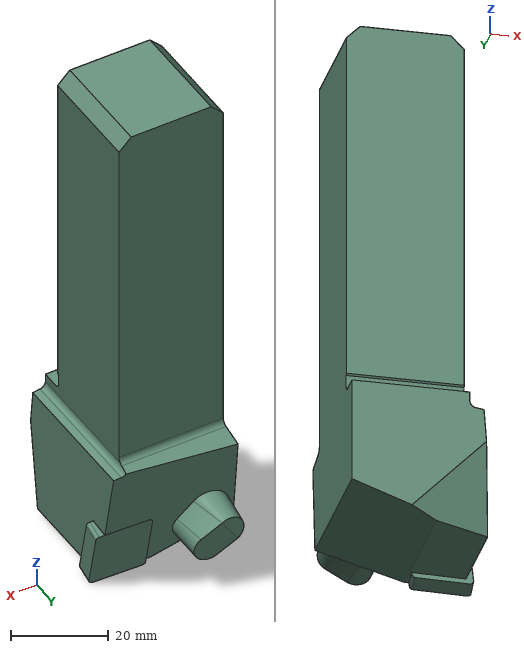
import cadquery as cq
import math

total_height = 116.0
shank_width = 24.9
shank_front = 5.0
shank_back = shank_front + shank_width
top_chamfer = 2.9

front_shoulder = 31.9
relief_top = 35.5
relief_depth = 0.3
relief_corner = 0.7
ledge_fillet = 1.5
side_ledge_root = 28.7
side_ledge_tip = (28.0, 28.2)
back_ledge_root = 29.9
back_ledge_tip = (36.0, 28.4)

corner_x = 29.9
corner_z = 1.6
left_edge_z = 9.2
slope_end = (18.3, 2.5)

back_x_slope = 0.11
back_z_slope = 0.097
back_y0 = 33.2
back_normal = (back_x_slope, 1, -back_z_slope)

bevel_start = (12.8, 4.6)
bevel_end = (28.5, 21.0)
bevel_angle = 20.0

boss_start = (5.8, 12.3)
boss_length = 5.5
boss_angle = -33.0
boss_radius = 3.4
boss_foot_radius = 4.5
boss_foot_y = 34.8
boss_sunk_y = 30.2
boss_top_y = 42.5
boss_top_slope = 7.5

insert_tip = (32.1, -0.07)
insert_edge = 12.9
insert_angle = 80.0
insert_turn = 4.5
insert_thickness = 4.8
insert_nose_radius = 0.8

cut_size = 69.6


def back_face_y(x, z):
    return back_y0 - back_x_slope * x + back_z_slope * z


def make_front_profile(depth):
    """Outline in X and Z, carried back to the given depth in Y."""
    profile = (
        cq.Workplane("XZ")
        .moveTo(0, left_edge_z)
        .lineTo(*slope_end)
        .lineTo(corner_x, corner_z)
        .lineTo(*side_ledge_tip)
        .lineTo(shank_width, side_ledge_root)
        .lineTo(shank_width, total_height)
        .lineTo(0, total_height)
        .close()
        .extrude(-depth)
    )
    ledge_corner = cq.selectors.NearestToPointSelector((shank_width, depth / 2, side_ledge_root))
    profile = profile.edges(ledge_corner).fillet(ledge_fillet)
    return profile.faces(">Z").edges("|Y").chamfer(top_chamfer)


def make_side_profile():
    """Outline in Y and Z, carried through the full width in X."""
    relief_y = shank_front + relief_depth
    profile = (
        cq.Workplane("YZ")
        .moveTo(0, 0)
        .lineTo(0, front_shoulder)
        .lineTo(relief_y - relief_corner, front_shoulder)
        .lineTo(relief_y, front_shoulder + relief_corner)
        .lineTo(relief_y, relief_top)
        .lineTo(shank_front, relief_top + relief_depth)
        .lineTo(shank_front, total_height)
        .lineTo(shank_back, total_height)
        .lineTo(shank_back, back_ledge_root)
        .lineTo(*back_ledge_tip)
        .lineTo(back_ledge_tip[0], 0)
        .close()
        .extrude(corner_x)
    )
    ledge_corner = cq.selectors.NearestToPointSelector((corner_x / 2, shank_back, back_ledge_root))
    return profile.edges(ledge_corner).fillet(ledge_fillet)


def make_back_cut():
    """Everything behind the sloping back face."""
    plane = cq.Plane((0, back_y0, 0), xDir=(1, -back_x_slope, 0), normal=back_normal)
    return cq.Workplane(plane).rect(2 * cut_size, 2 * cut_size).extrude(cut_size)


def make_corner_bevel():
    """Wedge ahead of the bevel plane, which deepens away from the bevel line."""
    run_x = bevel_end[0] - bevel_start[0]
    run_z = bevel_end[1] - bevel_start[1]
    run = math.hypot(run_x, run_z)
    sine = math.sin(math.radians(bevel_angle))
    cosine = math.cos(math.radians(bevel_angle))
    normal = (sine * run_z / run, -cosine, -sine * run_x / run)
    plane = cq.Plane((bevel_start[0], 0, bevel_start[1]), xDir=(run_x, 0, run_z), normal=normal)
    return cq.Workplane(plane).rect(cut_size, cut_size).extrude(cut_size)


def boss_section(y, start_radius):
    """Wire around two circles and their common tangents, at height y."""
    tilt = math.asin((start_radius - boss_radius) / boss_length)
    upper = math.pi / 2 - tilt

    def point(along, radius, angle):
        return (along + radius * math.cos(angle), radius * math.sin(angle))

    axis = (math.cos(math.radians(boss_angle)), 0, math.sin(math.radians(boss_angle)))
    plane = cq.Plane((boss_start[0], y, boss_start[1]), xDir=axis, normal=(0, -1, 0))
    outline = (
        cq.Workplane(plane)
        .moveTo(*point(0, start_radius, upper))
        .lineTo(*point(boss_length, boss_radius, upper))
        .threePointArc(point(boss_length, boss_radius, 0), point(boss_length, boss_radius, -upper))
        .lineTo(*point(0, start_radius, -upper))
        .threePointArc(point(0, start_radius, math.pi), point(0, start_radius, upper))
        .close()
    )
    return outline.val()


def make_boss():
    taper = (boss_foot_radius - boss_radius) / (boss_top_y - boss_foot_y)
    sunk_radius = boss_radius + taper * (boss_top_y - boss_sunk_y)
    foot = boss_section(boss_sunk_y, sunk_radius)
    top = boss_section(boss_top_y, boss_radius)
    boss = cq.Workplane(cq.Solid.makeLoft([foot, top], True))

    turn = math.radians(boss_angle)
    fall = math.tan(math.radians(boss_top_slope))
    normal = (fall * math.cos(turn), 1, fall * math.sin(turn))
    origin = (boss_start[0], boss_top_y, boss_start[1])
    plane = cq.Plane(origin, xDir=(-math.sin(turn), 0, math.cos(turn)), normal=normal)
    top_cut = cq.Workplane(plane).rect(cut_size, cut_size).extrude(cut_size)
    return boss.cut(top_cut)


def make_insert():
    tip_x, tip_z = insert_tip
    origin = (tip_x, back_face_y(tip_x, tip_z), tip_z)
    plane = cq.Plane(origin, xDir=(1, -back_x_slope, 0), normal=back_normal)
    lower_angle = math.radians(180 + insert_turn)
    upper_angle = lower_angle + math.radians(insert_angle)
    lower = (insert_edge * math.cos(lower_angle), insert_edge * math.sin(lower_angle))
    upper = (insert_edge * math.cos(upper_angle), insert_edge * math.sin(upper_angle))
    far = (lower[0] + upper[0], lower[1] + upper[1])
    blank = cq.Workplane(plane).polyline([(0, 0), lower, far, upper]).close().extrude(-insert_thickness)
    return blank.edges(cq.selectors.ParallelDirSelector(plane.zDir)).fillet(insert_nose_radius)


def make_holder():
    holder = make_front_profile(back_ledge_tip[0]).intersect(make_side_profile())
    holder = holder.cut(make_back_cut()).cut(make_corner_bevel())
    boss = make_boss().intersect(make_front_profile(boss_top_y))
    return holder.union(boss)


insert = make_insert()
holder = make_holder().cut(insert)

result = cq.Compound.makeCompound([holder.val(), insert.val()])